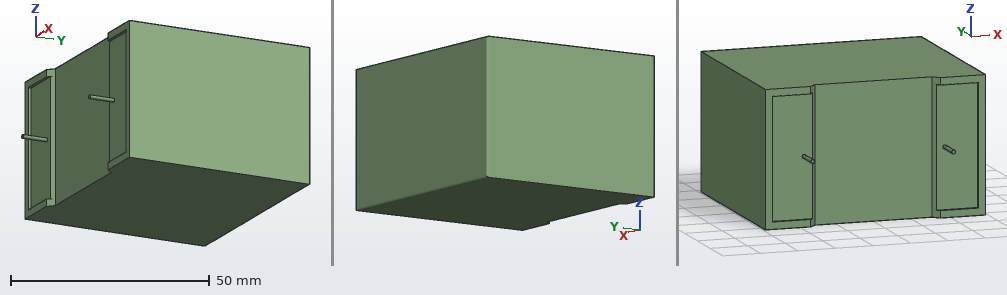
import cadquery as cq

width = 58.7
height = 36.2
total_length = 57.2
lead_length = 6.0
case_length = total_length - lead_length
back_edge_radius = 0.45

foot_width = 12.05
relief_depth = 1.7

wall = 1.95
resin_recess = 0.8
bridge_thickness = wall
opening_width = 10.9
opening_inner_x = width / 2 - wall - opening_width

lead_diameter = 1.0
lead_pitch = 37.55


def box_between(x_min, x_max, y_min, y_max, depth_z):
    """Box with the given X and Y limits, centred on Z = 0."""
    return (
        cq.Workplane("XY")
        .box(x_max - x_min, y_max - y_min, depth_z, centered=(False, False, True))
        .translate((x_min, y_min, 0))
    )


def make_cavity(opening_y):
    """One chamber behind the bridge, with a leg on each side reaching forward to opening_y."""
    outer_x = width / 2 - wall
    cavity_height = height - 2 * wall
    chamber_front = relief_depth + bridge_thickness
    chamber_back = case_length - wall
    block = box_between(-outer_x, outer_x, opening_y, chamber_back, cavity_height)
    bridge = box_between(-opening_inner_x, opening_inner_x, opening_y, chamber_front, cavity_height)
    return block.cut(bridge)


def make_relief():
    """Trapezoid channel that separates the two feet."""
    front_x = width / 2 - foot_width
    floor_x = front_x - relief_depth
    return (
        cq.Workplane("XY")
        .polyline([(-front_x, 0), (front_x, 0), (floor_x, relief_depth), (-floor_x, relief_depth)])
        .close()
        .extrude(height / 2, both=True)
    )


def make_case():
    """Box with rounded back edges, a relief between the feet and the resin cavity."""
    block = box_between(-width / 2, width / 2, 0, case_length, height)
    block = block.faces(">Y").edges().fillet(back_edge_radius)
    return block.cut(make_relief()).cut(make_cavity(opening_y=0))


def make_resin():
    """Filling of the cavity, set back slightly from the feet."""
    return make_cavity(opening_y=resin_recess)


def make_lead(x):
    """Round wire standing on the resin surface."""
    return (
        cq.Workplane("XZ", origin=(x, resin_recess, 0))
        .circle(lead_diameter / 2)
        .extrude(lead_length + resin_recess)
    )


case = make_case()
resin = make_resin()
leads = [make_lead(side * lead_pitch / 2) for side in (-1, 1)]

result = cq.Compound.makeCompound([case.val(), resin.val(), *[lead.val() for lead in leads]])